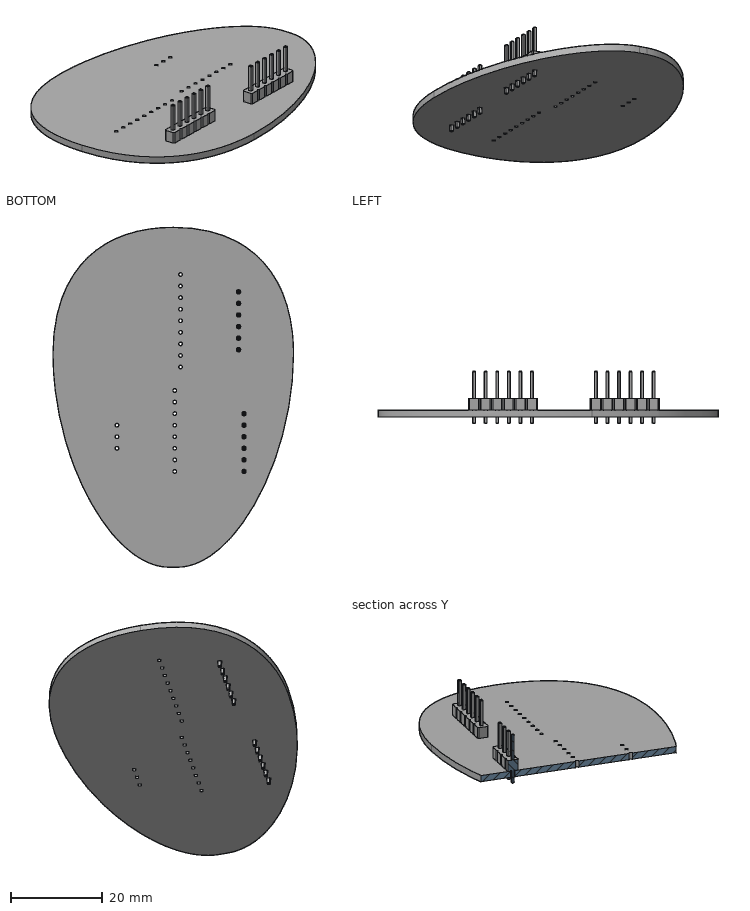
import cadquery as cq

BOARD_LENGTH = 74.65
BOARD_WIDTH = 52.85
BOARD_THICKNESS = 1.6
WIDEST_Y = -9.55
TIP_FLAT_WIDTH = 1.8
NARROW_SIDE_PULL = 23.3
NARROW_TIP_PULL = 12.55
BLUNT_SIDE_PULL = 16.7
BLUNT_END_PULL = 17.4

PITCH = 2.55
SMALL_HOLE_DIAMETER = 0.75
PIN_HOLE_DIAMETER = 1.0

LONG_ROW_X = 0.335
LONG_ROW_Y = 7.4
ROW_GAP_PITCHES = 5
SHORT_ROW_X = LONG_ROW_X - ROW_GAP_PITCHES * PITCH
SHORT_ROW_Y = LONG_ROW_Y + PITCH / 2
LOWER_Y = -16.8
HOLE_ROWS = [
    (LONG_ROW_X, LONG_ROW_Y, 8),
    (SHORT_ROW_X, SHORT_ROW_Y, 3),
    (LONG_ROW_X + PITCH / 2, LOWER_Y, 9),
]

PIN_COUNT = 6
HOUSING_HEIGHT = PITCH
HOUSING_CHAMFER = 0.3
PIN_WIDTH = 0.64
PIN_TIP_CHAMFER = 0.19
PIN_ABOVE_HOUSING = 6.05
PIN_BELOW_BOARD = 1.4
PIN_LENGTH = PIN_BELOW_BOARD + BOARD_THICKNESS + HOUSING_HEIGHT + PIN_ABOVE_HOUSING
UPPER_HEADER_X = 15.5
LOWER_HEADER_X = 14.3
HEADER_CENTRES = [
    (UPPER_HEADER_X, LONG_ROW_Y + PITCH),
    (LOWER_HEADER_X, LOWER_Y),
]


def row_points(centre_x, centre_y, count):
    """Points one pitch apart along Y, centred on the given place."""
    first_y = centre_y - PITCH * (count - 1) / 2
    return [(centre_x, first_y + PITCH * i) for i in range(count)]


def egg_outline():
    """Closed egg outline, narrow end toward +Y, from four curves and a short flat."""
    side = BOARD_WIDTH / 2
    tip = BOARD_LENGTH / 2
    narrow_y = WIDEST_Y + NARROW_SIDE_PULL
    blunt_y = WIDEST_Y - BLUNT_SIDE_PULL
    right_side = (side, WIDEST_Y)
    left_side = (-side, WIDEST_Y)
    flat_end = TIP_FLAT_WIDTH / 2
    tip_pull = flat_end + NARROW_TIP_PULL
    tip_right = (flat_end, tip)
    tip_left = (-flat_end, tip)
    blunt_end = (0, -tip)
    return (
        cq.Workplane("XY")
        .moveTo(*right_side)
        .bezier([right_side, (side, narrow_y), (tip_pull, tip), tip_right])
        .lineTo(*tip_left)
        .bezier([tip_left, (-tip_pull, tip), (-side, narrow_y), left_side])
        .bezier([left_side, (-side, blunt_y), (-BLUNT_END_PULL, -tip), blunt_end])
        .bezier([blunt_end, (BLUNT_END_PULL, -tip), (side, blunt_y), right_side])
        .close()
    )


def drill(body, points, diameter):
    """Cut through holes in the board at the given points."""
    drills = cq.Workplane("XY").pushPoints(points).circle(diameter / 2).extrude(BOARD_THICKNESS)
    return body.cut(drills)


def make_board():
    """Flat egg with its open hole rows and the holes for the header pins."""
    body = egg_outline().extrude(BOARD_THICKNESS)
    for centre_x, centre_y, count in HOLE_ROWS:
        body = drill(body, row_points(centre_x, centre_y, count), SMALL_HOLE_DIAMETER)
    for centre_x, centre_y in HEADER_CENTRES:
        body = drill(body, row_points(centre_x, centre_y, PIN_COUNT), PIN_HOLE_DIAMETER)
    return body


def make_housing_block(x, y):
    """One pin's block of the housing, resting on the board."""
    return (
        cq.Workplane("XY", origin=(x, y, BOARD_THICKNESS))
        .rect(PITCH, PITCH)
        .extrude(HOUSING_HEIGHT)
        .edges("|Z")
        .chamfer(HOUSING_CHAMFER)
    )


def make_pin(x, y):
    """Square pin with tapered tips, passing through block and board."""
    return (
        cq.Workplane("XY", origin=(x, y, -PIN_BELOW_BOARD))
        .rect(PIN_WIDTH, PIN_WIDTH)
        .extrude(PIN_LENGTH)
        .faces("<Z or >Z")
        .chamfer(PIN_TIP_CHAMFER)
    )


def make_header(centre_x, centre_y):
    """Row of chamfered blocks joined side by side, each carrying one pin."""
    header = cq.Workplane("XY")
    for x, y in row_points(centre_x, centre_y, PIN_COUNT):
        header = header.union(make_housing_block(x, y)).union(make_pin(x, y))
    return header


board = make_board()
headers = [make_header(x, y) for x, y in HEADER_CENTRES]

result = cq.Compound.makeCompound([board.val(), *[header.val() for header in headers]])